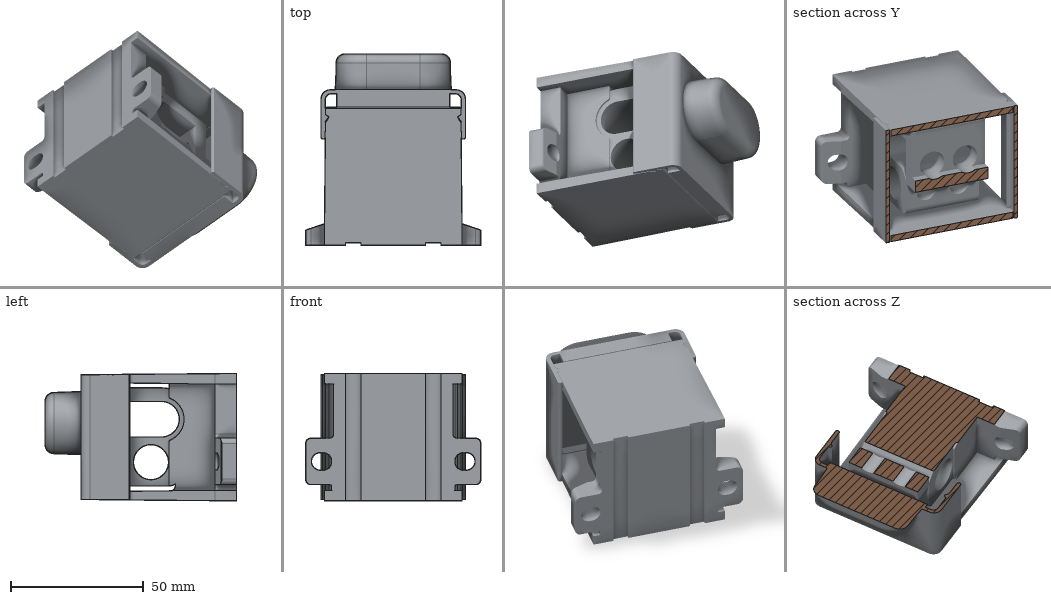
import cadquery as cq
import math

body_half_width = 25.9
body_half_height = 24.0
body_depth = 52.1
flange_depth = 8.2
draft_shift = 0.4
end_chamfer = 0.5
plate_inner_z = 20.0
plate_inner_end_z = plate_inner_z + draft_shift
flange_half_width = 22.4
core_half_width = 15.7
core_depth = 25.4
groove_inner_x = 12.15
groove_outer_x = 17.95
groove_depth = 1.0

ear_half_span = 33.0
ear_top_z = -0.35
ear_bottom_z = -17.9
ear_tip_depth = 5.9
ear_tip_chamfer = 0.4
ear_corner_radius = 2.1
ear_root_radius = 1.6
ear_slot_x = 26.95
ear_slot_length = 7.6
ear_slot_height = 6.5
relief_root_x = 23.15
relief_root_radius = 0.8

connector_half_width = 15.0
bore_y = 32.2
bore_z = -9.4
bore_radius = 6.55
block_half_depth = 11.3
block_half_height = 9.0
block_bottom_z = bore_z - block_half_height
block_top_z = 0.1
block_front_radius = 4.7
block_rear_radius = 3.0
block_rear_chamfer = 3.6
window_radius = 6.65
window_y = 28.25
window_z = block_top_z + window_radius
hook_wall = 5.2
window_clearance = 1.85
window_lip_radius = 0.8
block_front_y = bore_y - block_half_depth
block_rear_y = bore_y + block_half_depth
bar_overlap = 0.2
rear_bar_y = block_rear_y - bar_overlap
rear_bar_end_y = 49.0
rear_bar_bottom_z = -4.8
foot_end_y = 52.0
screw_x = 6.8
upper_screw_radius = 5.0
lower_screw_radius = 3.8
upper_screw_z = 4.3
corner_clearance_radius = 2.4

cover_half_width = 27.2
cover_half_height = 23.5
cover_arm_inner_x = 25.5
cover_arm_end_y = 40.0
cover_rear_y = 58.6
cover_inner_y = 57.0
cover_outer_radius = 3.5
cover_inner_radius = 2.0
cover_arm_chamfer = 0.5
rib_half_width = 21.3
pad_inner_y = 55.4
snap_top_y = 49.3
snap_peak_y = 48.35
snap_bottom_y = 46.6
snap_peak_x = 24.2
snap_gap = 1.0

knob_end_y = 72.1
knob_length = 43.8
knob_height = 23.8
knob_z = 5.3
knob_taper = 2.0
knob_edge_radius = 3.5


def box(x_range, y_range, z_range):
    """Axis-aligned block between the given limits."""
    size = [high - low for low, high in (x_range, y_range, z_range)]
    corner = cq.Vector(x_range[0], y_range[0], z_range[0])
    return cq.Workplane(obj=cq.Solid.makeBox(*size, pnt=corner))


def cylinder_along_x(y, z, radius, half_width):
    """Cylinder parallel to X, centred on X = 0."""
    start = cq.Vector(-half_width, y, z)
    return cq.Workplane(obj=cq.Solid.makeCylinder(radius, 2 * half_width, start, cq.Vector(1, 0, 0)))


def cylinder_along_y(x, z, radius, y_start, y_end):
    """Cylinder parallel to Y."""
    start = cq.Vector(x, y_start, z)
    return cq.Workplane(obj=cq.Solid.makeCylinder(radius, y_end - y_start, start, cq.Vector(0, 1, 0)))


def both_sides(shape):
    """Shape joined with its mirror image across the YZ plane."""
    return shape.union(shape.mirror("YZ"))


def make_plates():
    end_half_width = body_half_width - draft_shift
    end_half_height = body_half_height - draft_shift
    outline = (
        cq.Workplane("XY")
        .moveTo(0, 0)
        .lineTo(body_half_width, 0)
        .lineTo(body_half_width, flange_depth)
        .lineTo(end_half_width, body_depth - end_chamfer)
        .lineTo(end_half_width - end_chamfer, body_depth)
        .lineTo(0, body_depth)
        .mirrorY()
        .extrude(body_half_height, both=True)
    )
    top_plate = (
        cq.Workplane("YZ")
        .moveTo(0, plate_inner_z)
        .lineTo(0, body_half_height)
        .lineTo(body_depth - end_chamfer, end_half_height)
        .lineTo(body_depth, end_half_height - end_chamfer)
        .lineTo(body_depth, plate_inner_end_z + end_chamfer)
        .lineTo(body_depth - end_chamfer, plate_inner_end_z)
        .lineTo(flange_depth, plate_inner_z)
        .close()
        .extrude(body_half_width, both=True)
    )
    plates = top_plate.union(top_plate.mirror("XY")).intersect(outline)
    notch = both_sides(
        cq.Workplane("XY")
        .moveTo(body_half_width, snap_top_y)
        .lineTo(end_half_width, snap_top_y)
        .lineTo(snap_peak_x, snap_peak_y)
        .lineTo(body_half_width, snap_bottom_y - snap_gap)
        .close()
        .extrude(body_half_height, both=True)
    )
    return plates.cut(notch)


def make_flange():
    ear_height = ear_top_z - ear_bottom_z
    ear_middle_z = (ear_top_z + ear_bottom_z) / 2
    flange = box((-flange_half_width, flange_half_width), (0, flange_depth), (-plate_inner_z, plate_inner_z))
    foot = box((-relief_root_x, relief_root_x), (0, flange_depth), (-plate_inner_z, ear_bottom_z))
    ears = (
        cq.Workplane("XZ")
        .center(0, ear_middle_z)
        .rect(2 * ear_half_span, ear_height)
        .extrude(-flange_depth)
        .edges("|Y")
        .fillet(ear_corner_radius)
    )
    sloped_back = both_sides(
        cq.Workplane("XY")
        .moveTo(body_half_width, flange_depth)
        .lineTo(ear_half_span - ear_tip_chamfer, ear_tip_depth)
        .lineTo(ear_half_span, ear_tip_depth - ear_tip_chamfer)
        .lineTo(ear_half_span, flange_depth)
        .close()
        .extrude(body_half_height, both=True)
    )
    slot = both_sides(
        cq.Workplane("XZ")
        .center(ear_slot_x, ear_middle_z)
        .slot2D(ear_slot_length, ear_slot_height)
        .extrude(-flange_depth)
    )
    flange = flange.union(foot).union(ears.cut(sloped_back))
    for root_x, root_z, radius in (
        (flange_half_width, ear_top_z, ear_root_radius),
        (relief_root_x, ear_bottom_z, relief_root_radius),
    ):
        for side in (-1, 1):
            corner = cq.selectors.NearestToPointSelector((side * root_x, flange_depth / 2, root_z))
            flange = flange.edges("|Y").edges(corner).fillet(radius)
    return flange.cut(slot)


def make_block(half_width):
    """Lower half of the connector: a bar along X with rounded and chamfered long edges."""
    block = box((-half_width, half_width), (block_front_y, block_rear_y), (block_bottom_z, block_top_z))
    block = block.faces("<Y").edges("|X").fillet(block_front_radius)
    block = block.faces(">Y").edges("|X and <Z").fillet(block_rear_radius)
    return block.faces(">Y").edges("|X and >Z").chamfer(block_rear_chamfer)


def make_core():
    core = box((-core_half_width, core_half_width), (0, core_depth), (-plate_inner_end_z, plate_inner_end_z))
    recess_radius = window_radius + window_clearance
    core = core.cut(cylinder_along_x(window_y, window_z, recess_radius, core_half_width))
    half_opening = math.sqrt(recess_radius**2 - (window_y - core_depth) ** 2)
    for side in (-1, 1):
        lip = cq.selectors.NearestToPointSelector((0, core_depth, window_z + side * half_opening))
        core = core.edges("|X").edges(lip).fillet(window_lip_radius)
    clearance_z = corner_clearance_radius - plate_inner_end_z
    clearance = cylinder_along_x(core_depth, clearance_z, corner_clearance_radius, core_half_width)
    return core.cut(clearance.cut(make_block(core_half_width)))


def make_connector():
    half_width = connector_half_width
    hook_radius = window_radius + hook_wall
    hook_top_z = window_z + hook_radius
    block = make_block(half_width)
    hook = cylinder_along_x(window_y, window_z, hook_radius, half_width)
    hook = hook.intersect(
        box((-half_width, half_width), (0, window_y), (block_top_z - window_clearance, hook_top_z))
    )
    window_top_z = window_z + window_radius
    top_bar = box((-half_width, half_width), (window_y, rear_bar_end_y), (window_top_z, hook_top_z))
    rear_bar = box((-half_width, half_width), (rear_bar_y, rear_bar_end_y), (rear_bar_bottom_z, hook_top_z))
    foot = box((-half_width, half_width), (rear_bar_y, foot_end_y), (rear_bar_bottom_z, block_top_z))
    connector = block.union(hook).union(top_bar).union(rear_bar).union(foot)
    connector = connector.cut(cylinder_along_x(window_y, window_z, window_radius, half_width))
    connector = connector.cut(cylinder_along_x(bore_y, bore_z, bore_radius, half_width))
    for x in (-screw_x, screw_x):
        upper_hole = cylinder_along_y(x, upper_screw_z, upper_screw_radius, rear_bar_y, foot_end_y)
        lower_hole = cylinder_along_y(x, bore_z, lower_screw_radius, bore_y, block_rear_y)
        connector = connector.cut(upper_hole).cut(lower_hole)
    return connector


def make_cover():
    shell = box(
        (-cover_half_width, cover_half_width),
        (cover_arm_end_y, cover_rear_y),
        (-cover_half_height, cover_half_height),
    )
    shell = shell.edges("|Z and >Y").fillet(cover_outer_radius)
    inside = box(
        (-cover_arm_inner_x, cover_arm_inner_x),
        (cover_arm_end_y, cover_inner_y),
        (-cover_half_height, cover_half_height),
    )
    cover = shell.cut(inside.edges("|Z and >Y").fillet(cover_inner_radius))
    cover = cover.faces("<Y").edges("|Z").chamfer(cover_arm_chamfer)
    snaps = both_sides(
        cq.Workplane("XY")
        .moveTo(cover_arm_inner_x, snap_top_y)
        .lineTo(snap_peak_x, snap_peak_y)
        .lineTo(cover_arm_inner_x, snap_bottom_y)
        .close()
        .extrude(cover_half_height, both=True)
    )
    top_rib = box(
        (-rib_half_width, rib_half_width),
        (body_depth, cover_inner_y),
        (plate_inner_end_z, cover_half_height),
    )
    pad = box(
        (-rib_half_width, rib_half_width),
        (pad_inner_y, cover_inner_y),
        (-cover_half_height, cover_half_height),
    )
    return cover.union(pad).union(snaps).union(top_rib).union(top_rib.mirror("XY"))


def make_knob():
    return (
        cq.Workplane("XZ", origin=(0, cover_rear_y, knob_z))
        .slot2D(knob_length, knob_height)
        .extrude(cover_rear_y - knob_end_y, taper=knob_taper)
        .faces(">Y")
        .edges()
        .fillet(knob_edge_radius)
    )


def make_grooves():
    groove = box((groove_inner_x, groove_outer_x), (0, groove_depth), (-body_half_height, body_half_height))
    return both_sides(groove)


housing = make_plates().union(make_flange()).union(make_core())
housing = housing.cut(make_grooves())
result = housing.union(make_connector()).union(make_cover()).union(make_knob())